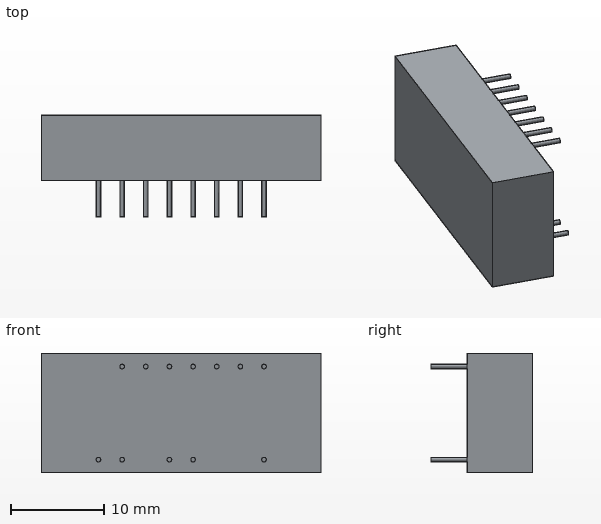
import cadquery as cq

body_length = 30.02
body_depth = 7.02
body_height = 12.8

overall_depth = 10.92
pin_length = overall_depth - body_depth
pin_diameter = 0.5
pin_pitch = 2.54
row_spacing = 10.0
pin_positions = 8

upper_row = [1, 2, 3, 4, 5, 6, 7]
lower_row = [0, 1, 3, 4, 7]


def row_points(occupied, z):
    """Pin centres (x, z) of one row, with the pitch grid centred on the body."""
    first_x = -pin_pitch * (pin_positions - 1) / 2
    return [(first_x + index * pin_pitch, z) for index in occupied]


def make_body():
    """Plain block whose pin face lies on the XZ plane."""
    return cq.Workplane("XY").box(
        body_length, body_depth, body_height, centered=(True, False, True)
    )


def make_pins():
    """All pins, standing out from the pin face toward -Y."""
    points = row_points(upper_row, row_spacing / 2) + row_points(lower_row, -row_spacing / 2)
    return cq.Workplane("XZ").pushPoints(points).circle(pin_diameter / 2).extrude(pin_length)


result = make_body().union(make_pins())